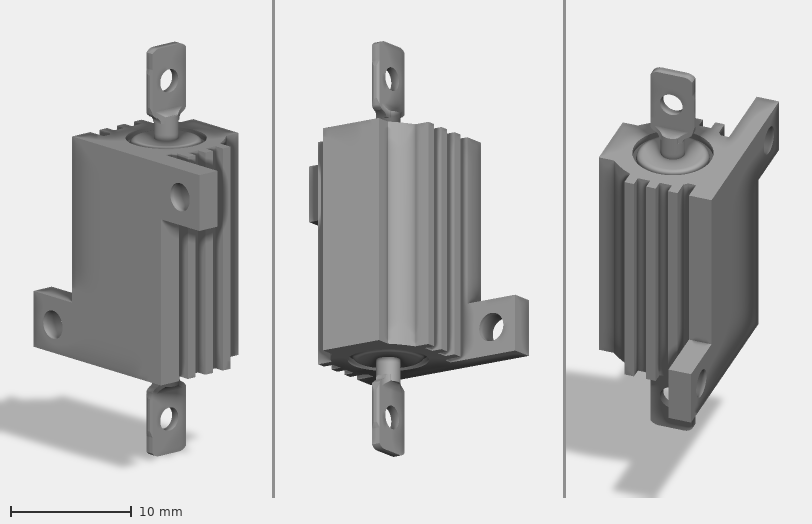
import cadquery as cq

overall_width = 20.6
body_depth = 11.0
overall_length = 35.0
body_length = 19.08
half_depth = body_depth / 2
half_body = body_length / 2

flange_thickness = 2.0
ear_size = 4.8
ear_hole_diameter = 2.4
body_width = overall_width - 2 * ear_size
half_width = body_width / 2

neck_half_width = 3.85
neck_chamfer = 0.3
fin_count = 3
fin_thickness = 0.85
fin_pitch = 1.92
lowest_fin_y = -2.5
groove_root_x = 4.6
shoulder_half_width = 4.2
shoulder_radius = 7.0
crest_half_width = 2.8
crest_base_y = 4.15

bore_radius = 3.35
insulator_radius = 3.05
rim_radius = 0.55

stem_radius = 1.0
stem_end_z = 11.6
notch_z = 11.02
neck_half_size = 0.7
tab_thickness = 0.77
tab_width = 3.68
tab_root_half_width = 1.47
flare_radius = 0.7
cheek_radius = 1.22
tab_face_z = 12.1
tab_corner_z = 11.85
tab_root_radius = 0.35
tab_tip_half_width = 1.12
tab_tip_drop = 0.35
tab_hole_diameter = 2.0
tab_hole_z = 14.52

ridge_height = 0.1
ridge_crown_width = 0.3
ridge_crown_length = 2.8
ridge_ramp = 0.5
ridge_middle_z = 13.9


def make_flange():
    """Plate with one ear at its +X +Z corner and one at its -X -Z corner."""
    plate = cq.Workplane("XY").box(body_width, flange_thickness, body_length)
    ear_x = half_width + ear_size / 2
    ear_z = half_body - ear_size / 2
    for side in (1, -1):
        ear = (
            cq.Workplane("XY")
            .box(2 * ear_size, flange_thickness, ear_size)
            .translate((side * half_width, 0, side * ear_z))
        )
        hole = (
            cq.Workplane("XZ", origin=(0, flange_thickness, 0))
            .center(side * ear_x, side * ear_z)
            .circle(ear_hole_diameter / 2)
            .extrude(2 * flange_thickness)
        )
        plate = plate.union(ear).cut(hole)
    return plate.translate((0, (flange_thickness - body_depth) / 2, 0))


def half_section_points():
    """Right-hand outline from the base up to the top of the highest fin."""
    points = [
        (0, -half_depth),
        (neck_half_width, -half_depth),
        (neck_half_width, lowest_fin_y - neck_chamfer),
        (neck_half_width + neck_chamfer, lowest_fin_y),
    ]
    for index in range(fin_count):
        fin_bottom = lowest_fin_y + index * fin_pitch
        fin_top = fin_bottom + fin_thickness
        if index > 0:
            points.append((groove_root_x, fin_bottom))
        points.append((half_width, fin_bottom))
        points.append((half_width, fin_top))
        if index < fin_count - 1:
            points.append((groove_root_x, fin_top))
    points.append((shoulder_half_width, fin_top))
    return points


def make_heat_sink():
    """Finned section with curved shoulders and a flat crest."""
    half = (
        cq.Workplane("XY", origin=(0, 0, -half_body))
        .polyline(half_section_points())
        .radiusArc((crest_half_width, crest_base_y), -shoulder_radius)
        .lineTo(crest_half_width, half_depth)
        .lineTo(0, half_depth)
        .close()
        .extrude(body_length)
    )
    return half.union(half.mirror("YZ"))


def make_ring_groove():
    """Groove around the rounded insulator rim at the +Z end of the body."""
    return (
        cq.Workplane("XZ")
        .moveTo(insulator_radius - rim_radius, half_body)
        .radiusArc((insulator_radius, half_body - rim_radius), rim_radius)
        .lineTo(bore_radius, half_body - rim_radius)
        .lineTo(bore_radius, half_body)
        .close()
        .revolve(360, (0, 0, 0), (0, 1, 0))
    )


def make_stem():
    """Round stem, flattened on its +Y and -Y sides near the tab."""
    stem = cq.Workplane("XY").circle(stem_radius).extrude(stem_end_z)
    upper_part = (
        cq.Workplane("XY", origin=(0, 0, notch_z))
        .rect(2 * stem_radius, 2 * neck_half_size)
        .extrude(stem_end_z - notch_z)
    )
    lower_part = stem.intersect(
        cq.Workplane("XY").rect(2 * stem_radius, 2 * stem_radius).extrude(notch_z)
    )
    return lower_part.union(stem.intersect(upper_part))


def make_transition():
    """Shoulders with hollow curved sides that lead from the stem to the flat tab."""
    half_thickness = tab_thickness / 2
    slab_plane = cq.Workplane("YZ", origin=(-stem_radius, 0, 0))
    slab_thickness = 2 * stem_radius
    flare_slab = (
        slab_plane.moveTo(-neck_half_size, stem_end_z)
        .lineTo(neck_half_size, stem_end_z)
        .lineTo(tab_root_half_width, tab_face_z)
        .lineTo(-tab_root_half_width, tab_face_z)
        .close()
        .extrude(slab_thickness)
    )
    flare = (
        cq.Workplane("XZ", origin=(0, tab_root_half_width, 0))
        .moveTo(-neck_half_size, stem_end_z)
        .lineTo(neck_half_size, stem_end_z)
        .radiusArc((half_thickness, tab_face_z), flare_radius)
        .lineTo(-half_thickness, tab_face_z)
        .radiusArc((-neck_half_size, stem_end_z), flare_radius)
        .close()
        .extrude(2 * tab_root_half_width)
    )
    cheek_run = tab_root_half_width - stem_radius
    cheek_rise = stem_end_z - notch_z
    underside_radius = (cheek_run**2 + cheek_rise**2) / (2 * cheek_run)
    cheek_slab = (
        slab_plane.moveTo(neck_half_size, notch_z)
        .lineTo(stem_radius, notch_z)
        .radiusArc((tab_root_half_width, stem_end_z), underside_radius)
        .lineTo(tab_root_half_width, tab_face_z)
        .lineTo(neck_half_size, stem_end_z)
        .close()
        .extrude(slab_thickness)
    )
    cheek = (
        cq.Workplane("XY", origin=(0, 0, notch_z))
        .moveTo(-neck_half_size, neck_half_size)
        .lineTo(neck_half_size, neck_half_size)
        .radiusArc((half_thickness, tab_root_half_width), cheek_radius)
        .lineTo(-half_thickness, tab_root_half_width)
        .radiusArc((-neck_half_size, neck_half_size), cheek_radius)
        .close()
        .extrude(tab_face_z - notch_z)
    )
    flare = flare.intersect(flare_slab)
    cheek = cheek.intersect(cheek_slab)
    return flare.union(cheek).union(cheek.mirror("XZ"))


def make_tab():
    """Flat solder tab with a sloped root, an arched tip and a round hole."""
    half_tab = tab_width / 2
    tip_z = overall_length / 2
    arc_run = half_tab - tab_tip_half_width
    tip_radius = (arc_run**2 + tab_tip_drop**2) / (2 * tab_tip_drop)
    side_top_z = tip_z - tab_tip_drop
    tab = (
        cq.Workplane("YZ", origin=(-tab_thickness / 2, 0, 0))
        .moveTo(-tab_root_half_width, stem_end_z)
        .lineTo(tab_root_half_width, stem_end_z)
        .lineTo(half_tab, tab_corner_z)
        .lineTo(half_tab, side_top_z)
        .radiusArc((tab_tip_half_width, tip_z), -tip_radius)
        .lineTo(-tab_tip_half_width, tip_z)
        .radiusArc((-half_tab, side_top_z), -tip_radius)
        .lineTo(-half_tab, tab_corner_z)
        .close()
        .extrude(tab_thickness)
    )
    root_corners = cq.selectors.BoxSelector(
        (-tab_thickness, -tab_width, tab_corner_z - tab_root_radius / 2),
        (tab_thickness, tab_width, tab_corner_z + tab_root_radius / 2),
    )
    tab = tab.edges("|X").edges(root_corners).fillet(tab_root_radius)
    hole = (
        cq.Workplane("YZ", origin=(-tab_thickness, 0, 0))
        .center(0, tab_hole_z)
        .circle(tab_hole_diameter / 2)
        .extrude(2 * tab_thickness)
    )
    return tab.cut(hole)


def make_ridge():
    """Bevelled ridge on the -Y edge of the tab."""
    return (
        cq.Workplane("XZ", origin=(0, -tab_width / 2, 0))
        .center(0, ridge_middle_z)
        .rect(tab_thickness, ridge_crown_length + 2 * ridge_ramp)
        .workplane(offset=ridge_height)
        .rect(ridge_crown_width, ridge_crown_length)
        .loft(ruled=True)
    )


def make_lead():
    """Complete lead on the +Z side."""
    ridge = make_ridge()
    lead = make_stem().union(make_transition()).union(make_tab())
    return lead.union(ridge).union(ridge.mirror("XZ"))


ring_groove = make_ring_groove()
lead = make_lead()
body = make_heat_sink().union(make_flange())
body = body.cut(ring_groove).cut(ring_groove.mirror("XY"))
result = body.union(lead).union(lead.mirror("XY"))